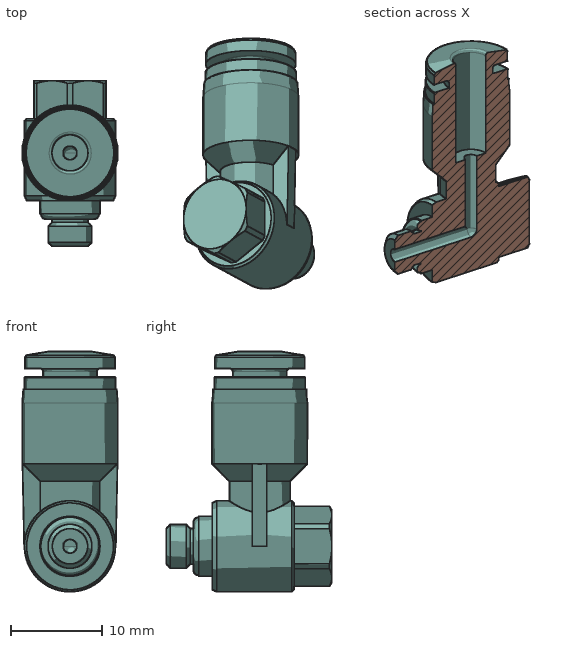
import cadquery as cq
import math


body_radius = 10.0 / 2
body_back = 3.78
body_front = -5.23
back_chamfer = 0.26
front_chamfer_length = 0.5
front_chamfer_depth = 0.25

hex_across_flats = 7.92
hex_corner_radius = 4.4
hex_end = 7.92
hex_end_radius = hex_across_flats / 2
hex_chamfer_length = 0.26

collar_radius = 6.6 / 2
collar_front = -6.7
ring_outer_radius = 3.2
ring_section_radius = 0.58
plug_neck_radius = 3.95 / 2
plug_neck_front = -7.63
plug_back = -8.08
plug_radius = 4.83 / 2
plug_chamfer_start = -9.82
plug_end = -10.27
plug_end_radius = 3.88 / 2

neck_radius = 6.73 / 2
cone_bottom = 7.15
cone_top = 9.05
socket_radius = 10.5 / 2
sleeve_bottom = 15.73
sleeve_top = 17.25
sleeve_top_radius = 5.15
guide_radius = 10.0 / 2
guide_top = 18.59
guide_chamfer = 0.08

button_top = 26.4 - body_radius
button_neck_radius = 5.97 / 2
button_neck_fillet = 0.32
button_bottom = 19.5
button_radius = 9.9 / 2
button_rim = 20.72
button_shoulder = 21.0
button_shoulder_radius = 4.8
mouth_radius = 4.62 / 2

tube_radius = 3.95 / 2
tube_floor = cone_top
mouth_fillet = mouth_radius - tube_radius
bore_radius = 1.5 / 2

rib_thickness = 1.58
rib_top_reach = 5.23
rib_bottom_reach = 5.05


def turn(outline):
    """Turn a closed outline about the vertical axis of its sketch plane (Y on XY, Z on XZ)."""
    return outline.close().revolve(360, (0, 0, 0), (0, 1, 0))


def make_body():
    outline = cq.Workplane("XY").polyline([
        (0, body_back),
        (body_radius - back_chamfer, body_back),
        (body_radius, body_back - back_chamfer),
        (body_radius, body_front + front_chamfer_length),
        (body_radius - front_chamfer_depth, body_front),
        (0, body_front),
    ])
    return turn(outline)


def make_hex_head():
    hexagon = (
        cq.Workplane("XZ")
        .polygon(6, hex_across_flats / math.cos(math.pi / 6))
        .extrude(-hex_end)
        .rotate((0, 0, 0), (0, 1, 0), 30)
    )
    envelope = cq.Workplane("XY").polyline([
        (0, 0),
        (hex_corner_radius, 0),
        (hex_corner_radius, hex_end - hex_chamfer_length),
        (hex_end_radius, hex_end),
        (0, hex_end),
    ])
    return hexagon.intersect(turn(envelope))


def make_plug():
    ring_center_radius = ring_outer_radius - ring_section_radius
    outline = (
        cq.Workplane("XY")
        .moveTo(0, 0)
        .lineTo(collar_radius, 0)
        .lineTo(collar_radius, collar_front)
        .lineTo(ring_outer_radius, collar_front)
        .threePointArc(
            (ring_center_radius, collar_front - ring_section_radius),
            (ring_center_radius - ring_section_radius, collar_front),
        )
        .lineTo(plug_neck_radius, collar_front)
        .lineTo(plug_neck_radius, plug_neck_front)
        .lineTo(plug_radius, plug_back)
        .lineTo(plug_radius, plug_chamfer_start)
        .lineTo(plug_end_radius, plug_end)
        .lineTo(0, plug_end)
    )
    return turn(outline)


def make_socket():
    fillet_center_radius = button_neck_radius + button_neck_fillet
    fillet_center_height = button_bottom - button_neck_fillet
    outline = (
        cq.Workplane("XZ")
        .polyline([
            (0, 0),
            (neck_radius, 0),
            (neck_radius, cone_bottom),
            (socket_radius, cone_top),
            (socket_radius, sleeve_bottom),
            (sleeve_top_radius, sleeve_top),
            (guide_radius, sleeve_top),
            (guide_radius, guide_top - guide_chamfer),
            (guide_radius - guide_chamfer, guide_top),
            (button_neck_radius, guide_top),
            (button_neck_radius, fillet_center_height),
        ])
        .threePointArc(
            (
                fillet_center_radius - button_neck_fillet * math.sqrt(0.5),
                fillet_center_height + button_neck_fillet * math.sqrt(0.5),
            ),
            (fillet_center_radius, button_bottom),
        )
        .lineTo(button_radius, button_bottom)
        .lineTo(button_radius, button_rim)
        .lineTo(button_shoulder_radius, button_shoulder)
        .lineTo(mouth_radius, button_top)
        .lineTo(0, button_top)
    )
    return turn(outline)


def make_ribs():
    return (
        cq.Workplane("XZ")
        .polyline([
            (-rib_bottom_reach, 0),
            (rib_bottom_reach, 0),
            (rib_top_reach, cone_top),
            (-rib_top_reach, cone_top),
        ])
        .close()
        .extrude(rib_thickness / 2, both=True)
    )


def make_tube_hole():
    outline = (
        cq.Workplane("XZ")
        .polyline([
            (0, 0),
            (bore_radius, 0),
            (bore_radius, tube_floor),
            (tube_radius, tube_floor),
            (tube_radius, button_top - mouth_fillet),
        ])
        .threePointArc(
            (
                mouth_radius - mouth_fillet * math.sqrt(0.5),
                button_top - mouth_fillet * (1 - math.sqrt(0.5)),
            ),
            (mouth_radius, button_top),
        )
        .lineTo(0, button_top)
    )
    return turn(outline)


def make_plug_bore():
    bore = cq.Workplane("XZ").circle(bore_radius).extrude(-plug_end)
    return bore.union(cq.Workplane("XY").sphere(bore_radius))


result = (
    make_body()
    .union(make_hex_head())
    .union(make_plug())
    .union(make_socket())
    .union(make_ribs())
    .cut(make_tube_hole())
    .cut(make_plug_bore())
)